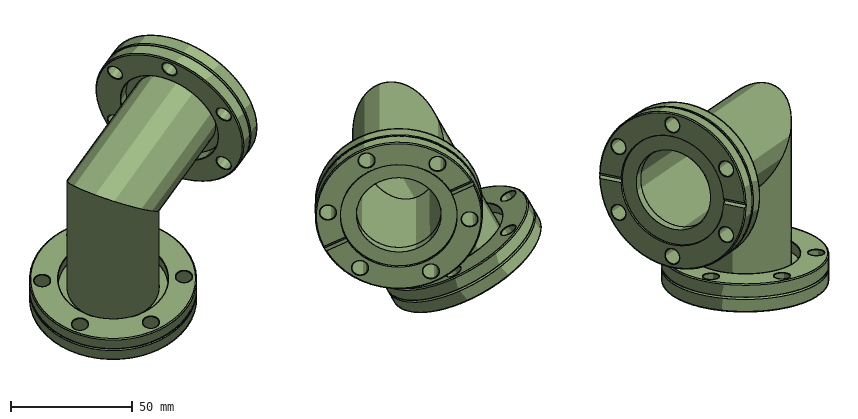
import cadquery as cq

overall_length = 97.05
flange_diameter = 69.1
flange_radius = flange_diameter / 2
face_distance = overall_length - flange_radius

flange_thickness = 12.6
rim_chamfer = 0.5
bore_chamfer = 0.2
groove_radius = 0.5
lip_bore_diameter = 45.5
ring_bore_diameter = 48.3

bolt_count = 6
first_bolt_angle = 90
bolt_hole_diameter = 6.7
bolt_circle_radius = 29.3

notch_width = 2.3
notch_depth = 0.9

insert_diameter = 48.1
lip_thickness = 4.9
insert_recess = 1.0
insert_bore_diameter = 35.0
tube_socket_diameter = 38.2
socket_depth = 2.9

tube_outer_diameter = 38.1
tube_bore_diameter = 35.0

sealing_face = -face_distance
back_face = sealing_face + flange_thickness
lip_face = back_face - lip_thickness
insert_face = sealing_face + insert_recess
tube_end = lip_face - socket_depth


def disc(diameter, bottom, top):
    """Solid disc about the Z axis between two heights."""
    return cq.Workplane("XY").workplane(offset=bottom).circle(diameter / 2).extrude(top - bottom)


def edge_groove():
    """Half-round groove around the rim, halfway through the flange thickness."""
    mid_height = (sealing_face + back_face) / 2
    profile = cq.Workplane("XZ").center(flange_radius, mid_height).circle(groove_radius)
    return profile.revolve(360, (-flange_radius, 0), (-flange_radius, 1))


def leak_notches():
    """V notches running along X across the sealing face of the ring."""
    profile = [
        (-notch_width / 2, sealing_face),
        (notch_width / 2, sealing_face),
        (0, sealing_face + notch_depth),
    ]
    return cq.Workplane("YZ").polyline(profile).close().extrude(flange_radius, both=True)


def flange_ring():
    """Outer ring with chamfered bolt holes and a lip that retains the insert."""
    ring = disc(flange_diameter, sealing_face, back_face).edges().chamfer(rim_chamfer)
    ring = ring.cut(disc(ring_bore_diameter, sealing_face, lip_face))
    ring = ring.cut(disc(lip_bore_diameter, lip_face, back_face))
    bolt_holes = (
        cq.Workplane("XY")
        .workplane(offset=sealing_face)
        .polarArray(bolt_circle_radius, first_bolt_angle, 360, bolt_count)
        .circle(bolt_hole_diameter / 2)
        .extrude(flange_thickness)
    )
    ring = ring.cut(bolt_holes)
    hole_size = cq.selectors.RadiusNthSelector(0)
    lip_size = cq.selectors.RadiusNthSelector(1)
    ring = ring.faces("<Z").edges(hole_size).chamfer(bore_chamfer)
    ring = ring.faces(">Z").edges(hole_size).chamfer(bore_chamfer)
    ring = ring.faces(">Z").edges(lip_size).chamfer(bore_chamfer)
    return ring.cut(edge_groove()).cut(leak_notches())


def weld_insert():
    """Inner hub with a through bore and a socket for the tube end."""
    insert = disc(insert_diameter, insert_face, lip_face)
    insert = insert.cut(disc(insert_bore_diameter, insert_face, lip_face))
    return insert.cut(disc(tube_socket_diameter, tube_end, lip_face))


def mitred_tube():
    """Tube along -Z, cut at 45 degrees where it meets the other tube."""
    reach = tube_outer_diameter
    tube = disc(tube_outer_diameter, tube_end, reach)
    tube = tube.cut(disc(tube_bore_diameter, tube_end, reach))
    beyond_mitre = (
        cq.Workplane("YZ")
        .polyline([(-reach, reach), (reach, -reach), (reach, reach)])
        .close()
        .extrude(reach, both=True)
    )
    return tube.cut(beyond_mitre)


def to_back_arm(body):
    """Copy of a lower-arm body on the other arm, mirrored in the mitre plane y = -z."""
    return body.mirror("XY").rotate((0, 0, 0), (1, 0, 0), -90)


lower_arm = [flange_ring(), weld_insert(), mitred_tube()]
bodies = []
for body in lower_arm:
    bodies.append(body.val())
    bodies.append(to_back_arm(body).val())

result = cq.Compound.makeCompound(bodies)